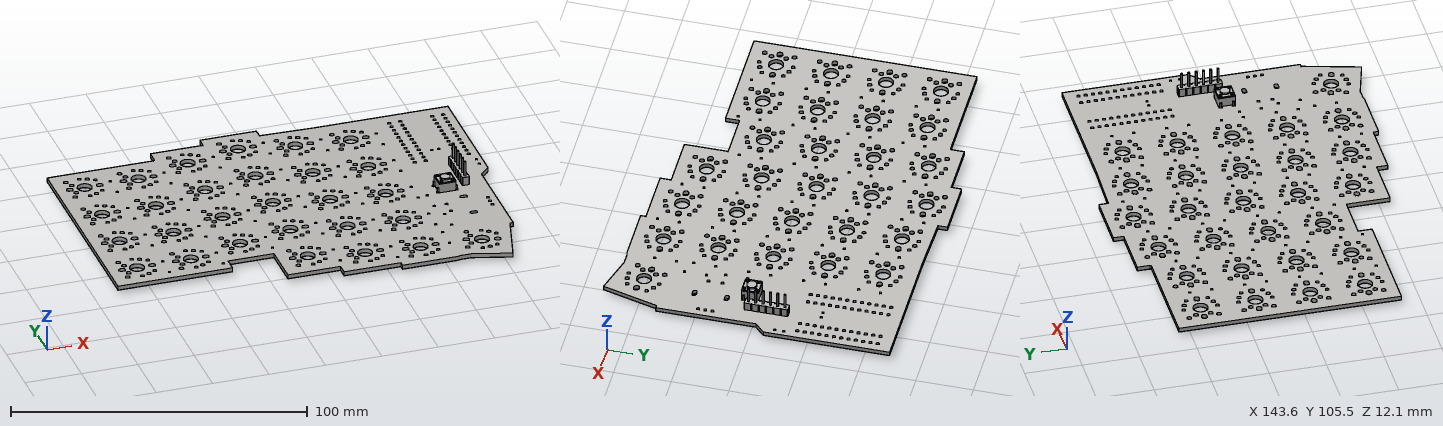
import cadquery as cq

HEADER_LENGTH = 15.2
HEADER_PINS = 6
PIN_PITCH = HEADER_LENGTH / HEADER_PINS

BOARD_THICKNESS = 1.6
LEFT_EDGE = -71.8
RIGHT_EDGE = 71.8
TOP_EDGE = 52.8
BOTTOM_EDGE = -52.7

BOARD_OUTLINE = [
    (LEFT_EDGE, 44.3),
    (-34.0, 44.3),
    (-33.6, 44.8),
    (-33.6, 49.2),
    (-14.9, 49.2),
    (-14.9, TOP_EDGE),
    (5.2, TOP_EDGE),
    (5.2, 49.5),
    (24.4, 49.0),
    (RIGHT_EDGE, 49.0),
    (RIGHT_EDGE, 5.2),
    (68.3, 1.7),
    (68.3, -33.0),
    (67.2, -33.0),
    (61.8, BOTTOM_EDGE),
    (48.4, -48.8),
    (44.3, -48.8),
    (43.3, -49.1),
    (23.8, -49.1),
    (23.8, -47.2),
    (3.7, -47.2),
    (3.7, -43.3),
    (-14.9, -43.3),
    (-14.9, -28.1),
    (-31.1, -28.1),
    (-31.1, -33.0),
    (LEFT_EDGE, -33.0),
]

COLUMN_SPAN = 95.3
FIRST_COLUMN_X = -61.7
COLUMN_TOP_Y = [34.3, 34.3, 39.3, 43.2, 39.3, 37.5]
COLUMN_KEYS = [4, 4, 4, 5, 5, 5]
KEY_PITCH = COLUMN_SPAN / (len(COLUMN_KEYS) - 1)
THUMB_KEY = (54.8, -40.3)
THUMB_ANGLE = -15.0

KEY_BORE_DIAMETER = 5.0
PEG_SLOT_X = 5.3
PEG_SLOT_LENGTH = 2.3
PEG_SLOT_WIDTH = 1.9
CORNER_HOLE_DIAMETER = 1.6
CORNER_HOLE = (-5.0, 5.2)
OUTER_HOLE_DIAMETER = 1.5
OUTER_HOLE = (PIN_PITCH, 2 * PIN_PITCH)
INNER_HOLE_DIAMETER = 1.6
INNER_HOLE = (-1.5 * PIN_PITCH, PIN_PITCH)
NARROW_HOLE_DIAMETER = 1.2
OUTER_NARROW_HOLE = (0.0, 5.9)
SIDE_NARROW_HOLE = (5.0, 3.7)

DIODE_HOLE_DIAMETER = 0.8
DIODE_SPAN = 3 * PIN_PITCH
DIODE_OFFSET_X = 9.5
DIODE_OFFSET_Y = -2.5
LONE_DIODES = [(43.6, -35.6), (48.1, -24.1), (46.5, -10.2)]

CONTROLLER_HOLE_DIAMETER = 1.09
CONTROLLER_ROWS = 12
CONTROLLER_TOP_Y = 44.0
CONTROLLER_COLUMNS_X = [49.4, 53.2, 64.6, 68.5]

SMALL_HOLE_DIAMETER = 0.76
SMALL_HOLES = [(57.4, 22.4), (59.8, 22.4), (69.7, 11.8), (69.7, 8.6)]

ENCODER_CENTRE = (57.8, -16.5)
ENCODER_LUG_Y = 5.6
ENCODER_LUG_LENGTH = 2.6
ENCODER_LUG_WIDTH = 1.5
ENCODER_HOLE_DIAMETER = 1.0
ENCODER_HOLE_X = 7.6
ENCODER_HOLE_PITCH = 2.5
ENCODER_SWITCH_X = -7.0

FIRST_HEADER_PIN = (61.0, -2.6)
HEADER_WIDTH = PIN_PITCH
HEADER_HEIGHT = 3.0
HEADER_CHAMFER = PIN_PITCH / 10
HEADER_HOLE_DIAMETER = 1.0
PIN_WIDTH = 0.65
PIN_TOP = 8.6
PIN_BOTTOM = -2.9
PIN_CHAMFER = 0.17

BUTTON_CENTRE = (53.8, -3.2)
BODY_WIDTH = 6.0
COVER_WIDTH = 5.7
BODY_EDGE_RADIUS = 0.3
BODY_TOP = 3.3
COVER_TOP = 3.7
POST_TOP = 4.0
CAP_TOP = 4.3
POST_SPACING = 4.0
POST_DIAMETER = 1.0
CAP_DIAMETER = 3.5
LEG_SPACING_Y = 4.5
LEG_THICKNESS = 0.49
LEG_WIDTH = 0.69
LEG_BOTTOM = -3.5
LEG_TIP_LENGTH = 0.9
LEG_TIP_WIDTH = 0.6
LEG_TOP = 1.6
LEG_HOLE_DIAMETER = 1.1
LEG_SPACING_X = BODY_WIDTH + LEG_THICKNESS


def mirrored(point):
    """The point and its mirror image across the X axis."""
    x, y = point
    return [(x, y), (x, -y)]


def through_cutter(points, diameter):
    return (
        cq.Workplane("XY", origin=(0, 0, -BOARD_THICKNESS))
        .pushPoints(points)
        .circle(diameter / 2)
        .extrude(BOARD_THICKNESS)
    )


def slot_cutter(points, length, width):
    return (
        cq.Workplane("XY", origin=(0, 0, -BOARD_THICKNESS))
        .pushPoints(points)
        .slot2D(length, width)
        .extrude(BOARD_THICKNESS)
    )


def key_places():
    """Centre and turn of every key."""
    places = []
    for column, (top_y, count) in enumerate(zip(COLUMN_TOP_Y, COLUMN_KEYS)):
        for row in range(count):
            places.append((FIRST_COLUMN_X + column * KEY_PITCH, top_y - row * KEY_PITCH, 0.0))
    places.append((*THUMB_KEY, THUMB_ANGLE))
    return places


def key_cutters():
    """The solids that one key site, centred on the origin, takes out of the board."""
    narrow = mirrored(OUTER_NARROW_HOLE) + mirrored(SIDE_NARROW_HOLE)
    return [
        *through_cutter([(0, 0)], KEY_BORE_DIAMETER).vals(),
        *through_cutter(mirrored(CORNER_HOLE), CORNER_HOLE_DIAMETER).vals(),
        *through_cutter(mirrored(OUTER_HOLE), OUTER_HOLE_DIAMETER).vals(),
        *through_cutter(mirrored(INNER_HOLE), INNER_HOLE_DIAMETER).vals(),
        *through_cutter(narrow, NARROW_HOLE_DIAMETER).vals(),
        *slot_cutter([(-PEG_SLOT_X, 0), (PEG_SLOT_X, 0)], PEG_SLOT_LENGTH, PEG_SLOT_WIDTH).vals(),
    ]


def diode_points():
    """Both lead holes of every diode; the last column's lowest key has no diode beside it."""
    centres = list(LONE_DIODES)
    for column, (top_y, count) in enumerate(zip(COLUMN_TOP_Y, COLUMN_KEYS)):
        x = FIRST_COLUMN_X + column * KEY_PITCH + DIODE_OFFSET_X
        last_column = column == len(COLUMN_KEYS) - 1
        for row in range(count - 1 if last_column else count):
            centres.append((x, top_y - row * KEY_PITCH + DIODE_OFFSET_Y))
    return [(x, y + side * DIODE_SPAN / 2) for x, y in centres for side in (-1, 1)]


def controller_points():
    return [
        (x, CONTROLLER_TOP_Y - row * PIN_PITCH)
        for x in CONTROLLER_COLUMNS_X
        for row in range(CONTROLLER_ROWS)
    ]


def encoder_points():
    x, y = ENCODER_CENTRE
    contacts = [(x + ENCODER_HOLE_X, y + n * ENCODER_HOLE_PITCH) for n in (-1, 0, 1)]
    switch = [(x + ENCODER_SWITCH_X, y + n * ENCODER_HOLE_PITCH) for n in (-1, 1)]
    return contacts + switch


def header_points():
    x, y = FIRST_HEADER_PIN
    return [(x, y + n * PIN_PITCH) for n in range(HEADER_PINS)]


def leg_points():
    x, y = BUTTON_CENTRE
    return [
        (x + side * LEG_SPACING_X / 2, y + end * LEG_SPACING_Y / 2)
        for side in (-1, 1)
        for end in (-1, 1)
    ]


def make_board():
    blank = (
        cq.Workplane("XY", origin=(0, 0, -BOARD_THICKNESS))
        .polyline(BOARD_OUTLINE)
        .close()
        .extrude(BOARD_THICKNESS)
    )
    cutters = []
    site = cq.Compound.makeCompound(key_cutters())
    for x, y, angle in key_places():
        cutters += site.moved(cq.Location(cq.Vector(x, y, 0), cq.Vector(0, 0, 1), angle)).Solids()
    ex, ey = ENCODER_CENTRE
    lugs = [(ex, ey - ENCODER_LUG_Y), (ex, ey + ENCODER_LUG_Y)]
    cutters += slot_cutter(lugs, ENCODER_LUG_LENGTH, ENCODER_LUG_WIDTH).vals()
    cutters += through_cutter(encoder_points(), ENCODER_HOLE_DIAMETER).vals()
    cutters += through_cutter(diode_points(), DIODE_HOLE_DIAMETER).vals()
    cutters += through_cutter(controller_points(), CONTROLLER_HOLE_DIAMETER).vals()
    cutters += through_cutter(SMALL_HOLES, SMALL_HOLE_DIAMETER).vals()
    cutters += through_cutter(header_points(), HEADER_HOLE_DIAMETER).vals()
    cutters += through_cutter(leg_points(), LEG_HOLE_DIAMETER).vals()
    return cq.Workplane(blank.val().cut(*cutters)).solids()


def make_header():
    """A row of blocks with bevelled corners, each around a square pin that goes through the board."""
    header = None
    for x, y in header_points():
        block = (
            cq.Workplane("XY", origin=(x, y, 0))
            .rect(HEADER_WIDTH, PIN_PITCH)
            .extrude(HEADER_HEIGHT)
            .edges("|Z")
            .chamfer(HEADER_CHAMFER)
        )
        pin = (
            cq.Workplane("XY", origin=(x, y, PIN_BOTTOM))
            .rect(PIN_WIDTH, PIN_WIDTH)
            .extrude(PIN_TOP - PIN_BOTTOM)
            .faces("<Z or >Z")
            .chamfer(PIN_CHAMFER)
        )
        piece = block.union(pin)
        header = piece if header is None else header.union(piece)
    return header


def make_leg(x, y):
    """A flat leg with a tapered tip."""
    shaft_bottom = LEG_BOTTOM + LEG_TIP_LENGTH
    shaft = (
        cq.Workplane("XY", origin=(x, y, shaft_bottom))
        .rect(LEG_THICKNESS, LEG_WIDTH)
        .extrude(LEG_TOP - shaft_bottom)
    )
    tip = (
        cq.Workplane("XY", origin=(x, y, LEG_BOTTOM))
        .rect(LEG_THICKNESS, LEG_TIP_WIDTH)
        .workplane(offset=LEG_TIP_LENGTH)
        .rect(LEG_THICKNESS, LEG_WIDTH)
        .loft()
    )
    return shaft.union(tip)


def make_button():
    """A square body under a cover plate with four posts and a round cap, on four legs."""
    base = cq.Workplane("XY", origin=(*BUTTON_CENTRE, 0))
    body = base.rect(BODY_WIDTH, BODY_WIDTH).extrude(BODY_TOP).edges("|Z").fillet(BODY_EDGE_RADIUS)
    cover_plane = base.workplane(offset=BODY_TOP)
    cover = cover_plane.rect(COVER_WIDTH, COVER_WIDTH).extrude(COVER_TOP - BODY_TOP)
    top_plane = base.workplane(offset=COVER_TOP)
    post_centres = top_plane.rect(POST_SPACING, POST_SPACING, forConstruction=True).vertices()
    posts = post_centres.circle(POST_DIAMETER / 2).extrude(POST_TOP - COVER_TOP)
    cap = top_plane.circle(CAP_DIAMETER / 2).extrude(CAP_TOP - COVER_TOP)
    button = body.union(cover).union(posts).union(cap)
    for x, y in leg_points():
        button = button.union(make_leg(x, y))
    return button


board = make_board()
header = make_header()
button = make_button()
result = cq.Compound.makeCompound([board.val(), header.solids().val(), button.solids().val()])